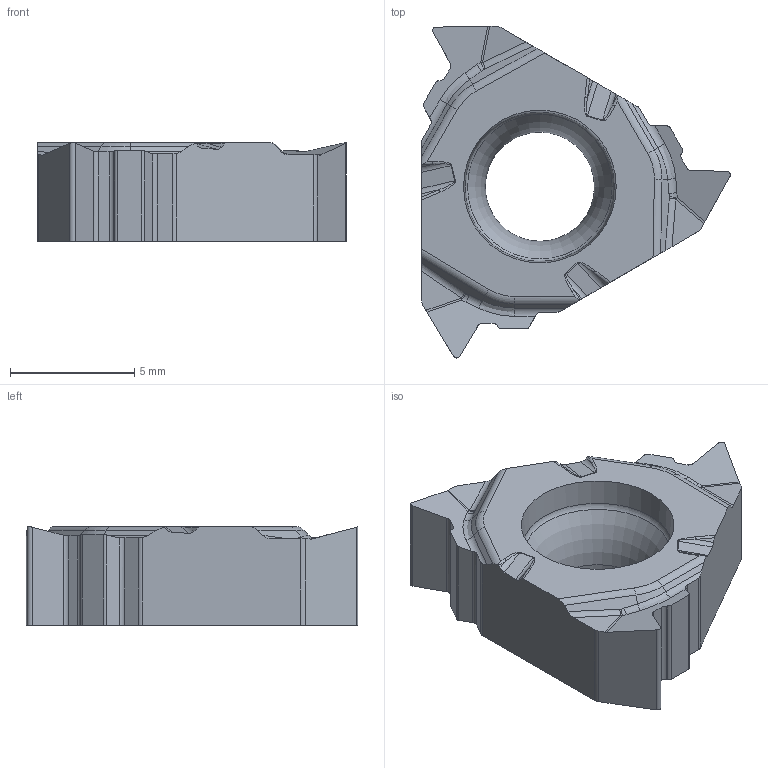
import cadquery as cq
import math


CORNER_COUNT = 3
CORNER_STEP = 360 / CORNER_COUNT
THICKNESS = 3.97
INSCRIBED_DIAMETER = 9.525
SIDE_DISTANCE = INSCRIBED_DIAMETER / 2

BORE_DIAMETER = 4.4
RECESS_DIAMETER = 6.16
RECESS_FOOT_DIAMETER = 6.04
RECESS_DEPTH = 1.06
RECESS_FOOT_RADIUS = 0.45
SEAT_RIM_DIAMETER = 5.84
SEAT_RIM_DEPTH = 1.29
SEAT_RADIUS = 3.8

FLANK_ANGLE = 58.9
TIP_LEVEL = -6.906
TIP_X = -3.355
TIP_RADIUS = 0.14
VALLEY_LEVEL = -5.51
CREST_LEVEL = -5.735
RELIEF_LEVEL = -5.06
STEP_X = -1.757
CREST_END_X = -0.487
CONVEX_RADIUS = 0.14
CONCAVE_RADIUS = 0.23
HEEL_RADIUS = 0.35
RELIEF_END_RADIUS = 0.27

RAKE_ANGLE = 14.8
HEEL_FLOOR_DEPTH = 0.48
HEEL_FLOOR_ANGLE = 5.2
FLOOR_FOLD_RADIUS = 0.3
POCKET_WALL_ANGLE = 50
WALL_FOOT_RADIUS = 0.33
WALL_TOP_RADIUS = 0.4
FRONT_WALL_LEVEL = -4.43
BACK_WALL_DISTANCE = 4.61
BACK_WALL_ANGLE = 31
WALL_BEND_RADIUS = 2.2

POCKET_LEFT = -7
POCKET_RIGHT = 2.5
POCKET_FRONT = -8
POCKET_BACK = -2
FOOT_LINE_DEPTH = 0.4

NOTCH_DEPTH = 0.245
NOTCH_LENGTH = 1.3
NOTCH_FLOOR_WIDTH = 0.63
NOTCH_TURN = 13
NOTCH_CENTRE_Y = 0.25
NOTCH_WALL_ANGLE = 45
NOTCH_FOOT_RADIUS = 0.3
NOTCH_TOP_RADIUS = 0.15
NOTCH_RIM_REACH = 1.56
NOTCH_BODY_LENGTH = 3.9
NOTCH_BODY_HEIGHT = 0.98

REACH = 10

EDGE_MARGIN = 0.05


def tan(degrees):
    return math.tan(math.radians(degrees))


def cos(degrees):
    return math.cos(math.radians(degrees))


def turned(point, degrees):
    """The XY point rotated about the Z axis."""
    c = math.cos(math.radians(degrees))
    s = math.sin(math.radians(degrees))
    return (c * point[0] - s * point[1], s * point[0] + c * point[1])


def turned_to_next_corner(shape):
    """The shape turned by one third of a turn about the Z axis."""
    return shape.rotate((0, 0, 0), (0, 0, 1), CORNER_STEP)


def rounded_polygon(corners):
    """Closed outline through (point, radius) corners, each rounded by a tangent arc."""
    arcs = []
    for i, (point, radius) in enumerate(corners):
        here = cq.Vector(*point)
        back = (cq.Vector(*corners[i - 1][0]) - here).normalized()
        ahead = (cq.Vector(*corners[(i + 1) % len(corners)][0]) - here).normalized()
        half_angle = back.getAngle(ahead) / 2
        setback = radius / math.tan(half_angle)
        to_middle = radius / math.sin(half_angle) - radius
        middle = here + (back + ahead).normalized() * to_middle
        arcs.append((here + back * setback, middle, here + ahead * setback))
    outline = cq.Workplane("XY").moveTo(*arcs[0][0].toTuple()[:2])
    for i, (start, middle, end) in enumerate(arcs):
        if i > 0:
            outline = outline.lineTo(start.x, start.y)
        outline = outline.threePointArc((middle.x, middle.y), (end.x, end.y))
    return outline.close()


def tooth_corners():
    """Rounded corners of one third of the outline, from the heel to the next side."""
    apex_y = TIP_LEVEL + TIP_RADIUS - TIP_RADIUS / cos(FLANK_ANGLE)

    def rise(from_level, to_level):
        return (to_level - from_level) / tan(FLANK_ANGLE)

    heel_y = apex_y + (TIP_X + SIDE_DISTANCE) * tan(FLANK_ANGLE)
    valley_x = TIP_X + rise(apex_y, VALLEY_LEVEL)
    crest_start_x = STEP_X + rise(CREST_LEVEL, VALLEY_LEVEL)
    relief_x = CREST_END_X + rise(CREST_LEVEL, RELIEF_LEVEL)
    next_side_tilt = 180 - CORNER_STEP
    next_side_x = SIDE_DISTANCE / cos(next_side_tilt) + RELIEF_LEVEL * tan(next_side_tilt)
    return [
        ((-SIDE_DISTANCE, heel_y), HEEL_RADIUS),
        ((TIP_X, apex_y), TIP_RADIUS),
        ((valley_x, VALLEY_LEVEL), CONCAVE_RADIUS),
        ((STEP_X, VALLEY_LEVEL), CONCAVE_RADIUS),
        ((crest_start_x, CREST_LEVEL), CONVEX_RADIUS),
        ((CREST_END_X, CREST_LEVEL), CONVEX_RADIUS),
        ((relief_x, RELIEF_LEVEL), CONCAVE_RADIUS),
        ((next_side_x, RELIEF_LEVEL), RELIEF_END_RADIUS),
    ]


def blank():
    """Straight prism with the outline of the whole insert."""
    corners = []
    for i in range(CORNER_COUNT):
        corners += [(turned(point, i * CORNER_STEP), radius) for point, radius in tooth_corners()]
    return rounded_polygon(corners).extrude(THICKNESS)


def screw_seat():
    """Revolved void: a recess, a bulged seat that narrows to the bore, and the bore."""
    bore = BORE_DIAMETER / 2
    recess = RECESS_DIAMETER / 2
    recess_foot = RECESS_FOOT_DIAMETER / 2
    rim = SEAT_RIM_DIAMETER / 2
    recess_z = THICKNESS - RECESS_DEPTH
    rim_z = THICKNESS - SEAT_RIM_DEPTH
    bulge_x = bore + SEAT_RADIUS
    bore_z = rim_z - math.sqrt(SEAT_RADIUS**2 - (bulge_x - rim) ** 2)
    half_sweep = math.asin((rim_z - bore_z) / SEAT_RADIUS) / 2
    bulge = (bulge_x - SEAT_RADIUS * math.cos(half_sweep), bore_z + SEAT_RADIUS * math.sin(half_sweep))
    return (
        cq.Workplane("XZ")
        .lineTo(bore, 0)
        .lineTo(bore, bore_z)
        .threePointArc(bulge, (rim, rim_z))
        .radiusArc((recess_foot, recess_z), -RECESS_FOOT_RADIUS)
        .lineTo(recess, THICKNESS)
        .lineTo(0, THICKNESS)
        .close()
        .revolve()
    )


def pocket_hub():
    """Body kept by a pocket: its sloping wall runs along the side, bends and follows the tooth."""
    edge_setback = WALL_TOP_RADIUS * tan(POCKET_WALL_ANGLE / 2)
    front_y = FRONT_WALL_LEVEL - edge_setback
    back_distance = BACK_WALL_DISTANCE + edge_setback
    bend_x = -(front_y + back_distance / cos(BACK_WALL_ANGLE)) / tan(BACK_WALL_ANGLE)
    far_left = (bend_x - REACH, front_y + REACH * tan(BACK_WALL_ANGLE))
    corners = [far_left, (bend_x, front_y), (REACH, front_y), (REACH, REACH)]
    outline = rounded_polygon([(point, WALL_BEND_RADIUS) for point in corners])
    hub = outline.extrude(-THICKNESS / 2, taper=POCKET_WALL_ANGLE - 90).translate((0, 0, THICKNESS))
    return hub.faces(">Z").edges().fillet(WALL_TOP_RADIUS)


def space_above(point, tilt_axis, tilt):
    """Block resting on a floor through the point, tilted about the given axis."""
    block = cq.Workplane("XY").box(4 * REACH, 4 * REACH, REACH, centered=(True, True, False))
    return block.rotate((0, 0, 0), tilt_axis, tilt).translate(point)


def chip_pocket():
    """Void above the rake floor and the heel floor, outside the hub."""
    rake_space = space_above((TIP_X, TIP_LEVEL, THICKNESS), (1, 0, 0), -RAKE_ANGLE)
    heel_point = (-SIDE_DISTANCE, 0, THICKNESS - HEEL_FLOOR_DEPTH)
    heel_space = space_above(heel_point, (0, 1, 0), HEEL_FLOOR_ANGLE)
    corner_plane = cq.Workplane("XY", origin=(POCKET_LEFT, POCKET_FRONT, THICKNESS / 2))
    width = POCKET_RIGHT - POCKET_LEFT
    depth = POCKET_BACK - POCKET_FRONT
    corner_space = corner_plane.box(width, depth, THICKNESS, centered=False)
    inside_corner_space = cq.selectors.BoxSelector(
        (POCKET_LEFT + EDGE_MARGIN, POCKET_FRONT + EDGE_MARGIN, THICKNESS / 2),
        (POCKET_RIGHT - EDGE_MARGIN, POCKET_BACK - EDGE_MARGIN, THICKNESS - FOOT_LINE_DEPTH),
    )
    void = rake_space.intersect(heel_space).intersect(corner_space)
    void = void.edges(inside_corner_space).fillet(FLOOR_FOLD_RADIUS)
    void = void.cut(pocket_hub())
    return void.edges(inside_corner_space).fillet(WALL_FOOT_RADIUS)


def notch():
    """Trough with sloping walls and rounded feet that climbs inward from the side."""
    floor = NOTCH_FLOOR_WIDTH / 2 + NOTCH_FOOT_RADIUS * tan(NOTCH_WALL_ANGLE / 2)
    top = floor + NOTCH_BODY_HEIGHT / tan(NOTCH_WALL_ANGLE)
    trough = (
        cq.Workplane("YZ")
        .polyline([(-floor, 0), (floor, 0), (top, NOTCH_BODY_HEIGHT), (-top, NOTCH_BODY_HEIGHT)])
        .close()
        .extrude(NOTCH_BODY_LENGTH)
        .faces("<Z")
        .edges("|X")
        .fillet(NOTCH_FOOT_RADIUS)
        .translate((-NOTCH_LENGTH, 0, 0))
    )
    climb = math.degrees(math.atan(NOTCH_DEPTH / NOTCH_LENGTH))
    trough = trough.rotate((0, 0, 0), (0, 1, 0), -climb).rotate((0, 0, 0), (0, 0, 1), NOTCH_TURN)
    return trough.translate((-SIDE_DISTANCE, NOTCH_CENTRE_Y, THICKNESS - NOTCH_DEPTH))


def with_notch(part):
    """The part with a notch cut into its -X side and the rim of the notch rounded."""
    rim_area = cq.selectors.BoxSelector(
        (-SIDE_DISTANCE + EDGE_MARGIN, NOTCH_CENTRE_Y - NOTCH_LENGTH, THICKNESS - EDGE_MARGIN),
        (-SIDE_DISTANCE + NOTCH_RIM_REACH, NOTCH_CENTRE_Y + NOTCH_LENGTH, THICKNESS + EDGE_MARGIN),
    )
    return part.cut(notch()).edges(rim_area).fillet(NOTCH_TOP_RADIUS)


result = blank().cut(screw_seat())
for i in range(CORNER_COUNT):
    result = turned_to_next_corner(with_notch(result))
for i in range(CORNER_COUNT):
    result = turned_to_next_corner(result.cut(chip_pocket()))